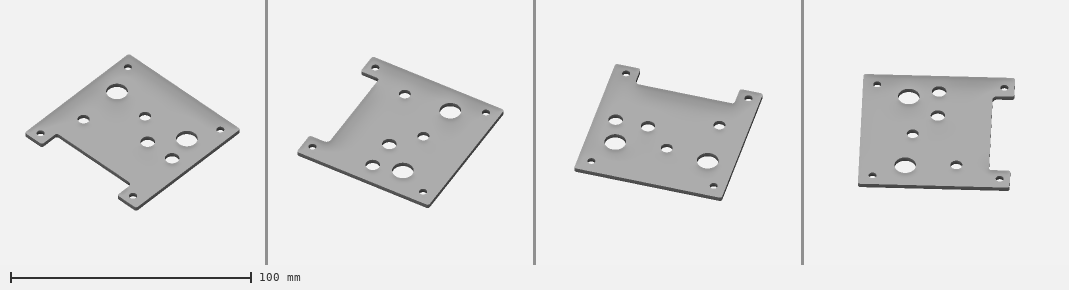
import cadquery as cq

WIDTH = 63.8
DEPTH = 63.1
THICKNESS = 2.0
CORNER_RADIUS = 1.0

NOTCH_LEFT = -21.95
NOTCH_RIGHT = 21.0
NOTCH_DEPTH = 8.9
NOTCH_LEFT_RADIUS = 1.0
NOTCH_RIGHT_RADIUS = 2.0

MOUNT_DIAMETER = 3.3
MOUNT_SPACING = 52.85
MOUNT_CENTER = (-0.4, -0.8)

LARGE_DIAMETER = 9.0
LARGE_CENTERS = [(-20.4, 12.25), (19.5, 12.25)]
MEDIUM_DIAMETER = 6.0
MEDIUM_CENTERS = [(8.9, -0.25), (22.9, -0.25)]
SMALL_DIAMETER = 5.0
SMALL_CENTERS = [(-2.05, 9.8), (-19.45, -9.0)]


def make_plate():
    """Flat plate with the notch cut out and every vertical corner rounded."""
    half_width = WIDTH / 2
    half_depth = DEPTH / 2
    notch_top = -half_depth + NOTCH_DEPTH
    outer_corners = [
        (-half_width, -half_depth),
        (NOTCH_LEFT, -half_depth),
        (NOTCH_RIGHT, -half_depth),
        (half_width, -half_depth),
        (half_width, half_depth),
        (-half_width, half_depth),
    ]
    notch_left_corner = (NOTCH_LEFT, notch_top)
    notch_right_corner = (NOTCH_RIGHT, notch_top)
    outline = outer_corners[:2] + [notch_left_corner, notch_right_corner] + outer_corners[2:]
    plate = cq.Workplane("XY").polyline(outline).close().extrude(THICKNESS)

    plate = round_corners(plate, outer_corners, CORNER_RADIUS)
    plate = round_corners(plate, [notch_left_corner], NOTCH_LEFT_RADIUS)
    return round_corners(plate, [notch_right_corner], NOTCH_RIGHT_RADIUS)


def round_corners(plate, corners, radius):
    """Fillet the vertical edge standing at each corner."""
    for x, y in corners:
        nearest = cq.selectors.NearestToPointSelector((x, y, THICKNESS / 2))
        plate = plate.edges("|Z").edges(nearest).fillet(radius)
    return plate


def drill(plate, centers, diameter):
    """Cut through holes of one diameter."""
    cutters = cq.Workplane("XY").pushPoints(centers).circle(diameter / 2).extrude(THICKNESS)
    return plate.cut(cutters)


mount_offset = MOUNT_SPACING / 2
mount_centers = [
    (MOUNT_CENTER[0] + side_x * mount_offset, MOUNT_CENTER[1] + side_y * mount_offset)
    for side_x in (-1, 1)
    for side_y in (-1, 1)
]

result = make_plate()
result = drill(result, mount_centers, MOUNT_DIAMETER)
result = drill(result, LARGE_CENTERS, LARGE_DIAMETER)
result = drill(result, MEDIUM_CENTERS, MEDIUM_DIAMETER)
result = drill(result, SMALL_CENTERS, SMALL_DIAMETER)